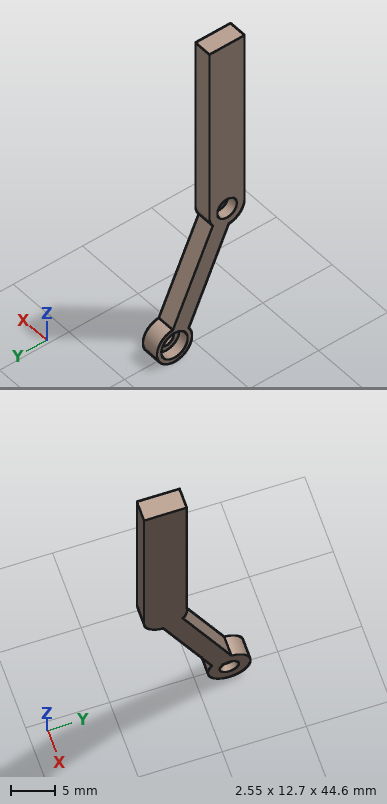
import cadquery as cq

total_height = 44.65
thickness = 2.55
bar_width = 5.1
end_radius = bar_width / 2
arm_width = 2.55
ring_radius = 2.55
ring_offset = 7.6
pivot_to_top = 25.35

pivot_hole_diameter = 2.8
pivot_hole_depth = 1.5
counterbore_diameter = 3.8
counterbore_depth = 1.5
through_hole_diameter = 2.28

ring_drop = total_height - pivot_to_top - ring_radius
ring_center = (ring_offset, -ring_drop)


def disc(center, radius, depth):
    """Cylinder along X, starting on the X = 0 face, centred at (Y, Z)."""
    return cq.Workplane("YZ").center(*center).circle(radius).extrude(depth)


def upright_bar():
    """Flat bar with a rounded lower end about the pivot."""
    bar = cq.Workplane("XY").box(thickness, bar_width, pivot_to_top, centered=(False, True, False))
    return bar.union(disc((0, 0), end_radius, thickness))


def slanted_arm():
    """Straight arm between the pivot and the ring centre."""
    direction = cq.Vector(0, *ring_center)
    plane = cq.Plane(origin=(thickness / 2, 0, 0), xDir=(1, 0, 0), normal=direction.toTuple())
    return cq.Workplane(plane).rect(thickness, arm_width).extrude(direction.Length)


body = upright_bar().union(slanted_arm()).union(disc(ring_center, ring_radius, thickness))

body = body.cut(disc((0, 0), pivot_hole_diameter / 2, pivot_hole_depth))
body = body.cut(disc(ring_center, counterbore_diameter / 2, counterbore_depth))
result = body.cut(disc(ring_center, through_hole_diameter / 2, thickness))